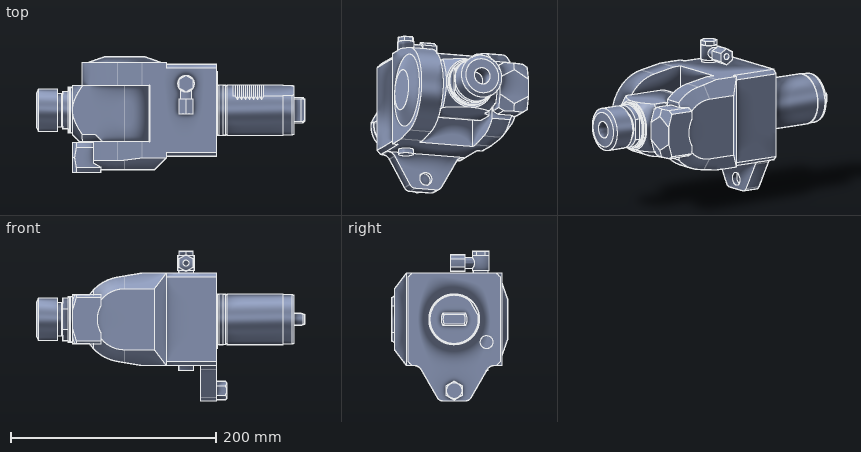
import cadquery as cq
import math


half_height = 45.2
half_width = 45.0
block_length = 48.5
block_chamfer = 4.0
pivot_x = -89.5
arm_radius = 41.8
arm_rise_x = -72.9
slot_back_x = -65.0
near_arm_inner = -30.5
near_arm_outer = -58.2
near_arm_rim = -49.0
near_arm_left = -120.1
near_arm_bevel = 12.0
near_face_radius = 29.8
far_arm_inner = 24.3
far_arm_outer = 46.7
dome_top = 52.2
dome_base_radius = 35.3
dome_top_radius = 19.5

head_left = -140.5
head_half = 24.0
head_relief_right = -118.3
head_relief_y = 7.0
head_relief_z = 8.5
cap_inner = -31.3
cap_outer = -60.9
cap_right = -112.8
cap_recess_radius = 26.6
cap_edge_y = 5.0
cap_edge_z = 3.0
cap_hex_radius = 17.0
cap_face_angle = 70.7
cap_face_depth = 5.2

nose_left = -175.2
nut_face_radius = 17.0
nut_radius = 21.0
nut_chamfer = 1.8
nut_end = -154.9
neck_radius = 16.5
neck_step_x = -151.0
neck_small_radius = 15.7
ring_radius = 22.5
ring_groove_left = -143.5
ring_groove_right = -142.3
ring_groove_radius = 21.5
nose_bore_radius = 8.0
nose_bore_depth = 21.0
collar_left = -150.0
collar_right = -144.7
collar_flat_half = 18.3

shank_radius = 24.8
root_groove_start = 0.8
root_groove_end = 2.4
root_groove_radius = 24.5
seal_start = 6.3
seal_end = 9.0
seal_radius = 24.5
seal_groove_end = 10.2
seal_groove_radius = 24.0
band_start = 64.8
band_radius = 24.3
band_chamfer_start = 73.5
shank_end = 75.5
shank_end_radius = 23.5
flat_angle = 30.0
flat_offset = 22.2
flat_start = 16.2
tooth_pitch = 4.0
tooth_count = 7
tooth_depth = 1.8
last_valley_x = 44.0
tang_end = 86.0
tang_radius = 12.5
tang_half = 6.0
tang_tip_half = 4.7
tang_taper = 3.7
tang_chamfer = 1.8

bracket_thickness = 15.7
bracket_bottom = -79.7
bracket_half_bottom = 14.5
bracket_half_top = 34.5
bracket_root = 40.5
bracket_foot_radius = 6.5
bracket_neck_radius = 7.8
bracket_hole_z = -69.5
bracket_hole_radius = 6.3
bracket_hole_depth = 5.2
screw_radius = 9.1
screw_length = 10.2
screw_chamfer = 1.5

fitting_x = -29.8
fitting_y = 25.9
fitting_top = 66.3
fitting_radius = 8.0
fitting_neck_radius = 7.3
fitting_neck_top = 47.5
fitting_hex_bottom = 62.2
outlet_z = 54.8
outlet_radius = 5.5
outlet_nut_start = 10.7
outlet_nut_end = -3.7
outlet_bore_radius = 3.0
outlet_bore_depth = 7.8
plug_bottom = -50.0
disc_y = 31.5
disc_z = -22.2
disc_radius = 6.3
disc_thickness = 1.0

overlap = 2.5
reach = 156.7


def box(x0, x1, y0, y1, z0, z1):
    return cq.Workplane("XY").box(x1 - x0, y1 - y0, z1 - z0, centered=False).translate((x0, y0, z0))


def prism_along_x(points, x0, x1):
    """Extrude a closed (Y, Z) outline from x0 to x1."""
    return cq.Workplane("YZ", origin=(x0, 0, 0)).polyline(points).close().extrude(x1 - x0)


def prism_along_y(points, y0, y1):
    """Extrude a closed (X, Z) outline from y0 to y1."""
    return cq.Workplane("XZ", origin=(0, y0, 0)).polyline(points).close().extrude(y0 - y1)


def prism_along_z(points, z0, z1):
    """Extrude a closed (X, Y) outline from z0 to z1."""
    return cq.Workplane("XY", origin=(0, 0, z0)).polyline(points).close().extrude(z1 - z0)


def turned_on_spindle(points):
    """Revolve an (X, radius) outline, closed along the axis, about the spindle axis."""
    return cq.Workplane("XY").polyline(points).close().revolve(360, (0, 0, 0), (1, 0, 0))


def turned_on_pivot(points):
    """Revolve a (radius, Y) outline, closed along the axis, about the pivot axis."""
    outline = cq.Workplane("XY").polyline(points).close()
    return outline.revolve(360, (0, 0, 0), (0, 1, 0)).translate((pivot_x, 0, 0))


def hexagon(radius):
    """Corners of a regular hexagon with one corner straight along the second axis."""
    angles = [math.radians(90 + 60 * i) for i in range(6)]
    return [(radius * math.cos(a), radius * math.sin(a)) for a in angles]


def arm_slab(y0, y1):
    """Side plate: round about the pivot, then rising along a tangent to the full height."""
    corner_distance = math.hypot(arm_rise_x - pivot_x, half_height)
    corner_angle = math.atan2(half_height, arm_rise_x - pivot_x)
    tangent_angle = corner_angle + math.acos(arm_radius / corner_distance)
    tangent_x = pivot_x + arm_radius * math.cos(tangent_angle)
    tangent_z = arm_radius * math.sin(tangent_angle)
    outline = (
        cq.Workplane("XZ", origin=(0, y0, 0))
        .moveTo(-block_length, half_height)
        .lineTo(arm_rise_x, half_height)
        .lineTo(tangent_x, tangent_z)
        .threePointArc((pivot_x - arm_radius, 0), (tangent_x, -tangent_z))
        .lineTo(arm_rise_x, -half_height)
        .lineTo(-block_length, -half_height)
        .close()
    )
    return outline.extrude(y0 - y1)


def near_arm():
    """Arm on the -Y side, bevelled around its outer face and cut straight at its left end."""
    slope = (arm_radius - near_face_radius) / (near_arm_rim - near_arm_outer)
    inner_radius = near_face_radius + slope * (near_arm_inner - near_arm_outer)
    bevel_round = turned_on_pivot([
        (0, near_arm_outer), (near_face_radius, near_arm_outer),
        (inner_radius, near_arm_inner), (0, near_arm_inner),
    ])
    bevel_straight = prism_along_x(
        [
            (near_arm_outer, near_face_radius), (near_arm_inner, inner_radius),
            (near_arm_inner, -inner_radius), (near_arm_outer, -near_face_radius),
        ],
        pivot_x, -block_length,
    )
    plan = prism_along_z(
        [
            (near_arm_left, near_arm_inner), (near_arm_left, near_arm_outer),
            (-block_length - near_arm_bevel, near_arm_outer),
            (-block_length, near_arm_outer + near_arm_bevel),
            (-block_length, near_arm_inner),
        ],
        -half_height, half_height,
    )
    arm = arm_slab(near_arm_outer, near_arm_inner)
    return arm.intersect(bevel_round.union(bevel_straight)).intersect(plan)


def far_arm():
    """Arm on the +Y side with a shallow conical cover."""
    dome = turned_on_pivot([
        (0, far_arm_outer - overlap), (dome_base_radius, far_arm_outer - overlap),
        (dome_base_radius, far_arm_outer), (dome_top_radius, dome_top), (0, dome_top),
    ])
    return arm_slab(far_arm_inner, far_arm_outer).union(dome)


def body():
    block = box(-block_length, 0, -half_width, half_width, -half_height, half_height)
    block = block.edges("|X").chamfer(block_chamfer)
    bridge_right = -block_length + overlap
    bridge = box(slot_back_x, bridge_right, near_arm_inner, far_arm_inner, -half_height, half_height)
    return block.union(bridge).union(near_arm()).union(far_arm())


def head():
    y0 = near_arm_inner
    y1 = far_arm_inner
    block = box(head_left, pivot_x, y0, y1, -head_half, head_half)
    barrel = cq.Workplane("XZ", origin=(pivot_x, y0, 0)).circle(head_half).extrude(y0 - y1)
    front_cone = turned_on_spindle([
        (head_left, 0), (head_left, head_half), (pivot_x, head_half + pivot_x - head_left), (pivot_x, 0),
    ])
    swivel = block.intersect(front_cone).union(barrel)
    relief_plan = prism_along_z(
        [
            (head_left, y0), (head_relief_right + head_relief_y, y0),
            (head_relief_right, y0 + head_relief_y), (head_left, y0 + head_relief_y),
        ],
        -head_half, head_half,
    )
    for side in (1, -1):
        corner = prism_along_x(
            [
                (y0, side * head_half), (y0 + head_relief_y, side * head_half),
                (y0, side * (head_half - head_relief_z)),
            ],
            head_left, pivot_x,
        )
        swivel = swivel.cut(corner.intersect(relief_plan))
    return swivel


def side_cap():
    """Block with a faceted hexagonal front, hollowed around the pivot outside the arm face."""
    y0 = cap_outer
    y1 = cap_inner
    section = [
        (y0, head_half - cap_edge_z), (y0 + cap_edge_y, head_half),
        (y1 - cap_edge_y, head_half), (y1, head_half - cap_edge_z),
    ]
    section += [(y, -z) for y, z in reversed(section)]
    block = prism_along_x(section, head_left, cap_right)
    facet_run = cap_face_depth * math.tan(math.radians(cap_face_angle))
    rear_hex_radius = cap_hex_radius + facet_run / math.cos(math.pi / 6)
    facets = (
        cq.Workplane("YZ", origin=(head_left, (y0 + y1) / 2, 0))
        .polyline(hexagon(cap_hex_radius))
        .close()
        .workplane(offset=cap_face_depth)
        .polyline(hexagon(rear_hex_radius))
        .close()
        .loft(ruled=True)
    )
    rear = box(head_left + cap_face_depth, cap_right, y0, y1, -reach, reach)
    recess = (
        cq.Workplane("XZ", origin=(pivot_x, near_arm_outer, 0))
        .circle(cap_recess_radius)
        .extrude(near_arm_outer - cap_outer)
    )
    return block.intersect(facets.union(rear)).cut(recess)


def nose():
    profile = [
        (nose_left, 0), (nose_left, nut_face_radius),
        (nose_left + nut_chamfer, nut_radius), (nut_end, nut_radius),
        (nut_end, neck_radius), (neck_step_x, neck_radius),
        (neck_step_x, neck_small_radius), (collar_left, neck_small_radius),
        (collar_left, nut_radius), (collar_right, nut_radius),
        (collar_right, ring_radius), (ring_groove_left, ring_radius),
        (ring_groove_left, ring_groove_radius), (ring_groove_right, ring_groove_radius),
        (ring_groove_right, ring_radius), (head_left + overlap, ring_radius), (head_left + overlap, 0),
    ]
    spindle = turned_on_spindle(profile)
    for y0, y1 in ((collar_flat_half, reach), (-reach, -collar_flat_half)):
        spindle = spindle.cut(box(collar_left, collar_right, y0, y1, -reach, reach))
    bore = cq.Workplane("YZ", origin=(nose_left, 0, 0)).circle(nose_bore_radius).extrude(nose_bore_depth)
    return spindle.cut(bore)


def shank():
    profile = [
        (-overlap, 0), (-overlap, shank_radius),
        (root_groove_start, shank_radius), (root_groove_start, root_groove_radius),
        (root_groove_end, root_groove_radius), (root_groove_end, shank_radius),
        (seal_start, shank_radius), (seal_start, seal_radius),
        (seal_end, seal_radius), (seal_end, seal_groove_radius),
        (seal_groove_end, seal_groove_radius), (seal_groove_end, shank_radius),
        (band_start, shank_radius), (band_start, band_radius),
        (band_chamfer_start, band_radius), (shank_end, shank_end_radius), (shank_end, 0),
    ]
    body_of_shank = turned_on_spindle(profile)

    cutter_length = shank_end - flat_start + overlap
    floor_points = [(flat_start, shank_radius), (flat_start, flat_offset)]
    for i in range(tooth_count):
        valley_x = last_valley_x - (tooth_count - 1 - i) * tooth_pitch
        floor_points += [
            (valley_x - tooth_pitch / 2, flat_offset),
            (valley_x, flat_offset - tooth_depth),
        ]
    floor_points += [
        (last_valley_x + tooth_pitch / 2, flat_offset),
        (flat_start + cutter_length, flat_offset),
        (flat_start + cutter_length, shank_radius),
    ]
    cutter = prism_along_y(floor_points, -shank_radius, shank_radius)
    cutter = cutter.rotate((0, 0, 0), (1, 0, 0), flat_angle - 90)
    return body_of_shank.cut(cutter).union(tang())


def tang():
    start = shank_end - overlap
    post = cq.Workplane("YZ", origin=(start, 0, 0)).circle(tang_radius).extrude(tang_end - start)
    post = post.faces(">X").edges().chamfer(tang_chamfer)
    side = [
        (start, tang_half), (tang_end - tang_taper, tang_half), (tang_end, tang_tip_half),
        (tang_end, -tang_tip_half), (tang_end - tang_taper, -tang_half), (start, -tang_half),
    ]
    return post.intersect(prism_along_y(side, -tang_radius, tang_radius))


def bracket():
    right_side = [
        (bracket_root, -half_height + overlap), (bracket_root, -half_height),
        (bracket_half_top, -half_height), (bracket_half_bottom, bracket_bottom),
    ]
    left_side = [(-y, z) for y, z in reversed(right_side)]
    plate = prism_along_x(right_side + left_side, -bracket_thickness, 0)
    for y, z, radius in (
        (bracket_half_top, -half_height, bracket_neck_radius),
        (bracket_half_bottom, bracket_bottom, bracket_foot_radius),
    ):
        for side in (1, -1):
            corner = cq.selectors.NearestToPointSelector((-bracket_thickness / 2, side * y, z))
            plate = plate.edges("|X").edges(corner).fillet(radius)
    hole = (
        cq.Workplane("YZ", origin=(-bracket_thickness, 0, bracket_hole_z))
        .circle(bracket_hole_radius)
        .extrude(bracket_hole_depth)
    )
    screw = prism_along_x(hexagon(screw_radius), -overlap, screw_length)
    rounding = cq.Workplane("YZ", origin=(-overlap, 0, 0)).circle(screw_radius)
    rounding = rounding.extrude(screw_length + overlap).faces(">X").edges().chamfer(screw_chamfer)
    screw = screw.intersect(rounding)
    return plate.cut(hole).union(screw.translate((0, 0, bracket_hole_z)))


def fitting():
    def post(radius, z0, z1):
        return cq.Workplane("XY", origin=(fitting_x, fitting_y, z0)).circle(radius).extrude(z1 - z0)

    neck = post(fitting_neck_radius, half_height - overlap, fitting_neck_top)
    barrel = post(fitting_radius, fitting_neck_top, fitting_hex_bottom)
    cap_outline = hexagon(fitting_radius)
    cap = prism_along_z(cap_outline, fitting_hex_bottom, fitting_top).translate((fitting_x, fitting_y, 0))

    def outlet(y0):
        return cq.Workplane("XZ", origin=(fitting_x, y0, outlet_z))

    pipe = outlet(fitting_y).circle(outlet_radius).extrude(fitting_y - outlet_nut_start + overlap)
    nut_length = outlet_nut_start - outlet_nut_end
    nut = outlet(outlet_nut_start).polyline(hexagon(fitting_radius)).close().extrude(nut_length)
    bore = outlet(outlet_nut_end).circle(outlet_bore_radius).extrude(-outlet_bore_depth)
    plug = post(fitting_neck_radius, plug_bottom, -half_height + overlap)
    return neck.union(barrel).union(cap).union(pipe).union(nut).cut(bore).union(plug)


def face_disc():
    disc = cq.Workplane("YZ", origin=(-overlap, disc_y, disc_z)).circle(disc_radius)
    return disc.extrude(overlap + disc_thickness)


result = body()
for piece in (head(), side_cap(), nose(), shank(), bracket(), fitting(), face_disc()):
    result = result.union(piece)